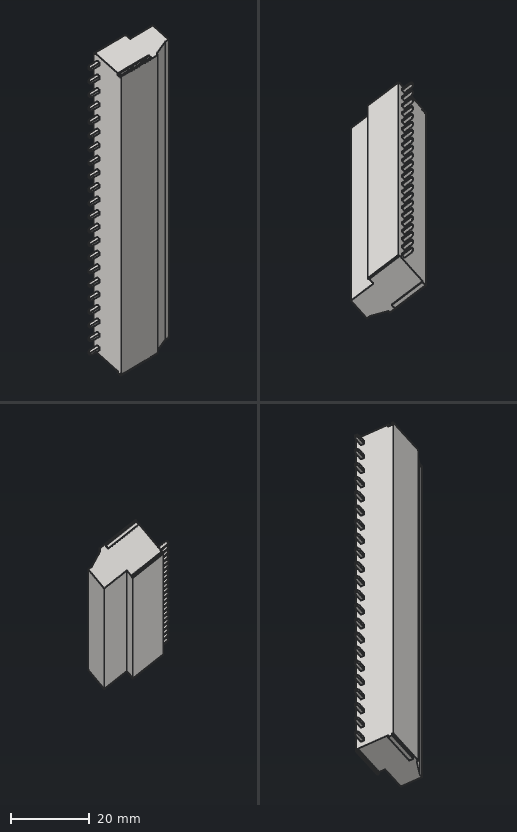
import cadquery as cq

total_height = 110.6
body_width = 11.2
body_depth = 17.5
pin_count = 22
pin_length = 3.1

base_depth = 10.1
head_left = 2.3
head_right = 8.7
slope_top = 16.4
slope_end = 10.6
slope_bottom = 12.0

rib_height = 0.7
edge_base_width = 0.5
edge_tip_width = 0.4
dovetail_left = 9.6
dovetail_right = 10.8
dovetail_flare = 0.1

pin_size = 1.0
pin_center_x = 2.0
first_pin_height = 2.4
pin_tip_length = 0.8
pin_tip_size = 0.7

body_height = total_height - rib_height
pitch = body_height / pin_count


def make_housing():
    """Stepped profile extruded upward from the top of the ribs."""
    profile = [
        (0, 0),
        (body_width, 0),
        (body_width, slope_bottom),
        (slope_end, slope_bottom),
        (head_right, slope_top),
        (head_right, body_depth),
        (head_left, body_depth),
        (head_left, base_depth),
        (0, base_depth),
    ]
    base = cq.Workplane("XY").workplane(offset=rib_height)
    return base.polyline(profile).close().extrude(body_height)


def make_dovetails(base_z):
    """Edge rib and dovetail rib whose roots lie at base_z and whose tips point down."""
    tip_z = base_z - rib_height
    edge_profile = [
        (0, base_z),
        (edge_base_width, base_z),
        (edge_tip_width, tip_z),
        (0, tip_z),
    ]
    dovetail_profile = [
        (dovetail_left + dovetail_flare, base_z),
        (dovetail_right - dovetail_flare, base_z),
        (dovetail_right, tip_z),
        (dovetail_left, tip_z),
    ]
    edge = cq.Workplane("XZ").polyline(edge_profile).close().extrude(-base_depth)
    dovetail = cq.Workplane("XZ").polyline(dovetail_profile).close().extrude(-base_depth)
    return edge, dovetail


def make_pin(center_z):
    """Square shank on the front face, ending in a tapered tip."""
    root = cq.Workplane("XZ", origin=(pin_center_x, 0, center_z))
    shank = root.rect(pin_size, pin_size).extrude(pin_length - pin_tip_length)
    return (
        shank.faces("<Y").workplane()
        .rect(pin_size, pin_size)
        .workplane(offset=pin_tip_length)
        .rect(pin_tip_size, pin_tip_size)
        .loft(combine=True)
    )


result = make_housing()
for groove in make_dovetails(total_height):
    result = result.cut(groove)
for rib in make_dovetails(rib_height):
    result = result.union(rib)
for index in range(pin_count):
    result = result.union(make_pin(rib_height + first_pin_height + index * pitch))